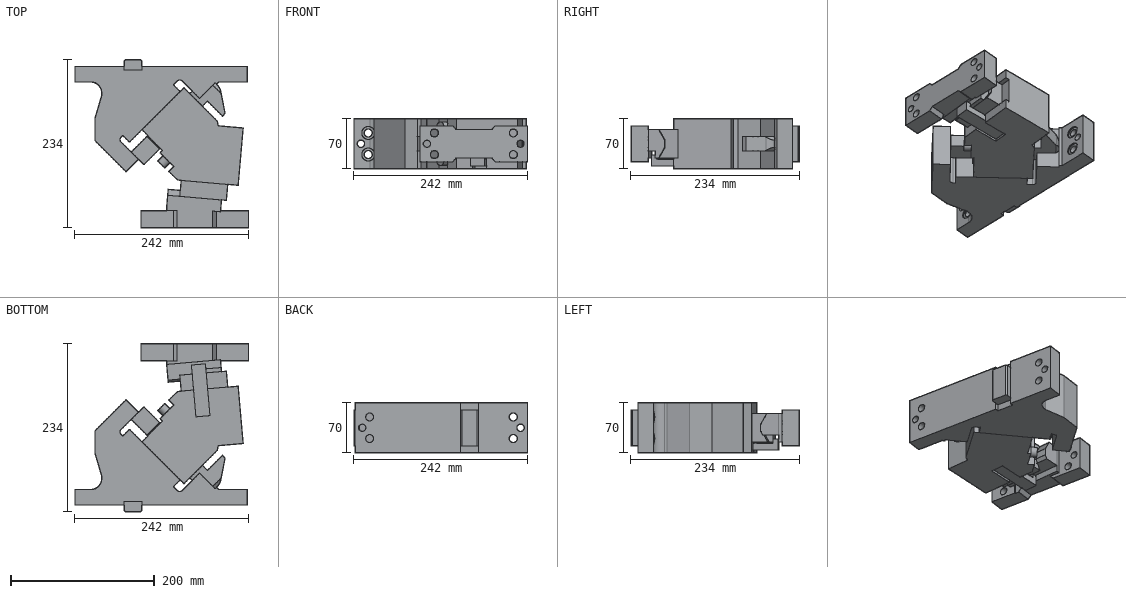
import cadquery as cq
import math

UNIT_LENGTH = 242.0
UNIT_HEIGHT = 234.0
BODY_WIDTH = 70.0
RAIL_WIDTH = 50.0
NECK_WIDTH = 40.0
HALF_BODY = BODY_WIDTH / 2
HALF_NECK = NECK_WIDTH / 2

STROKE_ORIGIN = (93.2, 136.2)
DIAGONAL = math.sqrt(0.5)
ALONG = cq.Vector(DIAGONAL, DIAGONAL, 0)
ACROSS = cq.Vector(DIAGONAL, -DIAGONAL, 0)

PRESS_ORIGIN = (227.5, 59.0)
PRESS_TILT = math.radians(5)
SIDE = cq.Vector(math.cos(PRESS_TILT), -math.sin(PRESS_TILT), 0)
UP = cq.Vector(math.sin(PRESS_TILT), math.cos(PRESS_TILT), 0)

PLATE_LENGTH = 240.0
PLATE_TOP = 224.8
PLATE_BOTTOM = 202.8
ROOT_RADIUS = 15.0
NECK_X = 37.3
NECK_STRAIGHT_Y = 184.0
ARM_X = 28.0
ARM_TOP_Y = 153.0
ARM_BOTTOM_Y = 121.2
ARM_ACROSS = 26.0
ARM_TIP_ALONG = -56.6
RELIEF_DEPTH = 13.0
RELIEF_RADIUS = 4.8
LOWER_LEDGE, LOWER_WALL = -24.2, -32.2
UPPER_LEDGE, UPPER_WALL = 75.5, 87.8
STUB_TOP_ALONG = 118.5
STUB_STEP_ACROSS = 28.8

MOUNT_SCREW_INSET = 20.0
MOUNT_DOWEL_INSET = 10.0
MOUNT_SCREW_Z = 15.0
MOUNT_SCREW_DIAMETER = 11.0
MOUNT_DOWEL_DIAMETER = 10.0
SPOTFACE_DIAMETER = 18.0
SPOTFACE_DEPTH = 2.0

KEY_LEFT = 68.5
KEY_LENGTH = 25.0
KEY_SEAT_Y = 219.7
KEY_CHAMFER = 2.0

GUIDE_START, GUIDE_END = 11.4, 36.3
GUIDE_HEIGHT = 19.8
GUIDE_PAD_THICKNESS = 1.2
HOOK_MOUTH_ALONG = 93.0
HOOK_TIP_ACROSS = 66.3
HOOK_NOSE = (65.3, 98.7)
HOOK_SHOULDER = (41.9, 114.5)
HOOK_CROWN = (35.8, 117.5)
HOOK_SLOPE_START = 114.0
HOOK_SLOPE_DROP = 4.8

SLIDER_END_ALONG = 83.0
SLIDER_SHOULDER_ACROSS = 65.8
SHOULDER_UP, SHOULDER_SIDE = 80.3, -34.8
WORK_START, WORK_END = 40.5, 67.3
WORK_ALONG = -4.5
NOSE_ALONG = -14.3
NOSE_SIDE = -84.7
SETBACK_ALONG = 0.5
STUD_DIAMETER = 14.0
STUD_LENGTH = 10.2
STUD_ACROSS = 53.2
STUD_Z = 23.5

V_BLOCK_LEFT, V_BLOCK_RIGHT = -79.9, -14.5
KEYWAY_END = 4.8
KEYWAY_DEPTH = 6.0
V_EDGE_UP = -22.3
V_RIDGE_UP = -13.8
V_RIDGE_HALF = 5.0

CATCH_LEFT, CATCH_RIGHT = -62.5, -42.8
CATCH_TIP_UP = -34.8
CATCH_BOTTOM_Z, CATCH_TOP_Z, CATCH_TIP_Z = -31.2, -21.3, -15.5
CATCH_SLOT_LENGTH = 37.5

DRIVER_LEFT = 92.0
DRIVER_LENGTH = UNIT_LENGTH - DRIVER_LEFT
BASE_THICKNESS = 24.0
WAIST_LEFT, WAIST_RIGHT = 142.5, 192.0
DRIVER_NECK_LEFT, DRIVER_NECK_RIGHT = -96.8, -21.3
DRIVER_NECK_FOOT = -38.7
CATCH_RECESS_Z = -10.5
FLANGE_LEFT = -57.4
FLANGE_UNDERSIDE = -27.8


def stroke(across, along):
    """Global XY of a point in the stroke frame."""
    return (
        STROKE_ORIGIN[0] + DIAGONAL * (across + along),
        STROKE_ORIGIN[1] + DIAGONAL * (along - across),
    )


def press(side, up):
    """Global XY of a point in the press frame."""
    return (
        PRESS_ORIGIN[0] + side * SIDE.x + up * UP.x,
        PRESS_ORIGIN[1] + side * SIDE.y + up * UP.y,
    )


def prism(points, bottom, top):
    """Straight-sided XY outline between two Z levels."""
    return cq.Workplane("XY").workplane(offset=bottom).polyline(points).close().extrude(top - bottom)


def framed_block(frame, first, second, bottom, top):
    """Block with opposite corners given in a tilted frame."""
    corners = [first, (second[0], first[1]), second, (first[0], second[1])]
    return prism([frame(*corner) for corner in corners], bottom, top)


def y_holes(diameter, places, start, length):
    """Round cutters along +Y from Y = start, at (x, z) places."""
    cutters = cq.Workplane("XY")
    for x, z in places:
        axis_start = cq.Vector(x, start, z)
        cutters = cutters.add(cq.Solid.makeCylinder(diameter / 2, length, axis_start, cq.Vector(0, 1, 0)))
    return cutters.combine()


def mount_screw_places(left, length):
    """Four screw holes, a pair near each end of a mounting plate."""
    ends = (left + MOUNT_SCREW_INSET, left + length - MOUNT_SCREW_INSET)
    return [(x, z) for x in ends for z in (-MOUNT_SCREW_Z, MOUNT_SCREW_Z)]


def mount_dowel_places(left, length):
    """Two dowel holes on the centre plane."""
    return [(left + MOUNT_DOWEL_INSET, 0), (left + length - MOUNT_DOWEL_INSET, 0)]


def housing_body():
    """Plate, left arm and right stub as one outline."""
    round_off = RELIEF_RADIUS * (1 - DIAGONAL)
    relief_back = -RELIEF_DEPTH
    root_x = NECK_X - ROOT_RADIUS
    root_y = PLATE_BOTTOM - ROOT_RADIUS
    root_middle = (root_x + ROOT_RADIUS * DIAGONAL, root_y + ROOT_RADIUS * DIAGONAL)
    step_rise = (PLATE_BOTTOM - stroke(STUB_STEP_ACROSS, STUB_TOP_ALONG)[1]) / DIAGONAL
    outline = (
        cq.Workplane("XY")
        .workplane(offset=-HALF_BODY)
        .moveTo(0, PLATE_TOP)
        .lineTo(0, PLATE_BOTTOM)
        .lineTo(root_x, PLATE_BOTTOM)
        .threePointArc(root_middle, (NECK_X, root_y))
        .lineTo(NECK_X, NECK_STRAIGHT_Y)
        .lineTo(ARM_X, ARM_TOP_Y)
        .lineTo(ARM_X, ARM_BOTTOM_Y)
        .lineTo(*stroke(ARM_ACROSS, ARM_TIP_ALONG))
        .lineTo(*stroke(ARM_ACROSS, LOWER_WALL))
        .lineTo(*stroke(relief_back + RELIEF_RADIUS, LOWER_WALL))
        .threePointArc(
            stroke(relief_back + round_off, LOWER_WALL + round_off),
            stroke(relief_back, LOWER_WALL + RELIEF_RADIUS),
        )
        .lineTo(*stroke(relief_back, LOWER_LEDGE))
        .lineTo(*stroke(0, LOWER_LEDGE))
        .lineTo(*stroke(0, UPPER_LEDGE))
        .lineTo(*stroke(relief_back, UPPER_LEDGE))
        .lineTo(*stroke(relief_back, UPPER_WALL - RELIEF_RADIUS))
        .threePointArc(
            stroke(relief_back + round_off, UPPER_WALL - round_off),
            stroke(relief_back + RELIEF_RADIUS, UPPER_WALL),
        )
        .lineTo(*stroke(ARM_ACROSS, UPPER_WALL))
        .lineTo(*stroke(ARM_ACROSS, STUB_TOP_ALONG))
        .lineTo(*stroke(STUB_STEP_ACROSS, STUB_TOP_ALONG))
        .lineTo(*stroke(STUB_STEP_ACROSS, STUB_TOP_ALONG + step_rise))
        .lineTo(PLATE_LENGTH, PLATE_BOTTOM)
        .lineTo(PLATE_LENGTH, PLATE_TOP)
        .close()
    )
    return outline.extrude(BODY_WIDTH)


def housing_mounting_holes():
    """Through holes of the plate, with spotfaces under the screws."""
    screws = mount_screw_places(0, PLATE_LENGTH)
    dowels = mount_dowel_places(0, PLATE_LENGTH)
    thickness = PLATE_TOP - PLATE_BOTTOM
    spotface_start = PLATE_BOTTOM - ROOT_RADIUS
    spotfaces = y_holes(SPOTFACE_DIAMETER, screws, spotface_start, ROOT_RADIUS + SPOTFACE_DEPTH)
    return (
        spotfaces
        .union(y_holes(MOUNT_SCREW_DIAMETER, screws, PLATE_BOTTOM, thickness))
        .union(y_holes(MOUNT_DOWEL_DIAMETER, dowels, PLATE_BOTTOM, thickness))
    )


def key_seat():
    """Slot through the full width of the plate for the key."""
    right = KEY_LEFT + KEY_LENGTH
    corners = [(KEY_LEFT, KEY_SEAT_Y), (right, KEY_SEAT_Y), (right, PLATE_TOP), (KEY_LEFT, PLATE_TOP)]
    return prism(corners, -HALF_BODY, HALF_BODY)


def key():
    """Locating key, shorter than its seat."""
    right = KEY_LEFT + KEY_LENGTH
    points = [
        (KEY_LEFT, KEY_SEAT_Y),
        (right, KEY_SEAT_Y),
        (right, UNIT_HEIGHT - KEY_CHAMFER),
        (right - KEY_CHAMFER, UNIT_HEIGHT),
        (KEY_LEFT + KEY_CHAMFER, UNIT_HEIGHT),
        (KEY_LEFT, UNIT_HEIGHT - KEY_CHAMFER),
    ]
    return prism(points, -RAIL_WIDTH / 2, RAIL_WIDTH / 2)


def lower_guide():
    """Tongue from the left arm to the slider, ending in a taller pad."""
    half = GUIDE_HEIGHT / 2
    tongue = framed_block(stroke, (GUIDE_START, LOWER_WALL), (GUIDE_END, 0), -half, half)
    pad = framed_block(stroke, (GUIDE_START, -GUIDE_PAD_THICKNESS), (GUIDE_END, 0), -HALF_NECK, HALF_NECK)
    return tongue.union(pad)


def upper_hook():
    """Tongue and hook on the right stub; the hook slopes away at its upper end."""
    half = GUIDE_HEIGHT / 2
    outline = (
        cq.Workplane("XY")
        .workplane(offset=-half)
        .moveTo(*stroke(GUIDE_START, SLIDER_END_ALONG))
        .lineTo(*stroke(GUIDE_END, SLIDER_END_ALONG))
        .lineTo(*stroke(GUIDE_END, HOOK_MOUTH_ALONG))
        .lineTo(*stroke(HOOK_TIP_ACROSS, HOOK_MOUTH_ALONG))
        .lineTo(*stroke(*HOOK_NOSE))
        .lineTo(*stroke(*HOOK_SHOULDER))
        .threePointArc(stroke(*HOOK_CROWN), stroke(STUB_STEP_ACROSS, STUB_TOP_ALONG))
        .lineTo(*stroke(ARM_ACROSS, STUB_TOP_ALONG))
        .lineTo(*stroke(ARM_ACROSS, UPPER_WALL))
        .lineTo(*stroke(GUIDE_START, UPPER_WALL))
        .close()
        .extrude(GUIDE_HEIGHT)
    )
    section_plane = cq.Plane(origin=(*STROKE_ORIGIN, 0), xDir=ALONG, normal=ACROSS)
    section = [
        (SLIDER_END_ALONG, half),
        (HOOK_SLOPE_START, half),
        (STUB_TOP_ALONG, half - HOOK_SLOPE_DROP),
        (STUB_TOP_ALONG, -half + HOOK_SLOPE_DROP),
        (HOOK_SLOPE_START, -half),
        (SLIDER_END_ALONG, -half),
    ]
    envelope = cq.Workplane(section_plane).polyline(section).close().extrude(BODY_WIDTH)
    return outline.intersect(envelope)


def make_housing():
    plate_and_arms = housing_body().cut(key_seat()).cut(housing_mounting_holes())
    return plate_and_arms.union(key()).union(lower_guide()).union(upper_hook())


def slider_block():
    """Full-width block with the stepped working side."""
    points = [
        stroke(0, SETBACK_ALONG),
        stroke(0, SLIDER_END_ALONG),
        stroke(SLIDER_SHOULDER_ACROSS, SLIDER_END_ALONG),
        press(SHOULDER_SIDE, SHOULDER_UP),
        press(0, SHOULDER_UP),
        press(0, 0),
        press(NOSE_SIDE, 0),
        stroke(WORK_END, NOSE_ALONG),
        stroke(WORK_END, WORK_ALONG),
        stroke(WORK_START, WORK_ALONG),
        stroke(WORK_START, 0),
        stroke(GUIDE_START, 0),
        stroke(GUIDE_START, SETBACK_ALONG),
    ]
    return prism(points, -HALF_BODY, HALF_BODY)


def press_section(points, left, right):
    """Section given as (up, z) points, swept between two side positions."""
    start = press(left, 0)
    plane = cq.Plane(origin=(*start, 0), xDir=UP, normal=SIDE)
    return cq.Workplane(plane).polyline(points).close().extrude(right - left)


def v_profile(base_up):
    """Section of the V guide, from its ridge to the level base_up."""
    return [
        (base_up, -HALF_NECK),
        (V_EDGE_UP, -HALF_NECK),
        (V_RIDGE_UP, -V_RIDGE_HALF),
        (V_RIDGE_UP, V_RIDGE_HALF),
        (V_EDGE_UP, HALF_NECK),
        (base_up, HALF_NECK),
    ]


def v_block():
    """Block under the slider with the V groove that rides on the driver."""
    return press_section(v_profile(KEYWAY_DEPTH), V_BLOCK_LEFT, V_BLOCK_RIGHT)


def keyway():
    """Groove for the V block, open towards the right side of the slider."""
    section = [(0, -HALF_NECK), (KEYWAY_DEPTH, -HALF_NECK), (KEYWAY_DEPTH, HALF_NECK), (0, HALF_NECK)]
    return press_section(section, V_BLOCK_LEFT, KEYWAY_END)


def studs():
    """Two round studs on the working face."""
    bodies = cq.Workplane("XY")
    for z in (-STUD_Z, STUD_Z):
        foot = cq.Vector(*stroke(STUD_ACROSS, WORK_ALONG), z)
        bodies = bodies.add(cq.Solid.makeCylinder(STUD_DIAMETER / 2, STUD_LENGTH, foot, -ALONG))
    return bodies.combine()


def return_catch():
    """L-shaped plate that reaches under the flange of the driver."""
    plate = framed_block(press, (CATCH_LEFT, CATCH_TIP_UP), (CATCH_RIGHT, 0), CATCH_BOTTOM_Z, CATCH_TOP_Z)
    tip_corner = (CATCH_RIGHT, FLANGE_UNDERSIDE)
    tip = framed_block(press, (CATCH_LEFT, CATCH_TIP_UP), tip_corner, CATCH_BOTTOM_Z, CATCH_TIP_Z)
    return plate.union(tip)


def catch_slot():
    """Slot in the lower side of the slider, in line with the catch."""
    far_corner = (CATCH_RIGHT, CATCH_SLOT_LENGTH)
    return framed_block(press, (CATCH_LEFT, 0), far_corner, -HALF_BODY, CATCH_BOTTOM_Z)


def make_slider():
    block = slider_block().cut(catch_slot()).cut(keyway())
    return block.union(v_block()).union(studs()).union(return_catch())


def driver_base():
    """Mounting plate, narrower in its middle."""
    half_rail = RAIL_WIDTH / 2
    slope = half_rail - HALF_NECK
    upper = [
        (DRIVER_LEFT, half_rail),
        (WAIST_LEFT - slope, half_rail),
        (WAIST_LEFT, HALF_NECK),
        (WAIST_RIGHT, HALF_NECK),
        (WAIST_RIGHT + slope, half_rail),
        (UNIT_LENGTH, half_rail),
    ]
    lower = [(x, -z) for x, z in reversed(upper)]
    base = cq.Workplane("XZ").polyline(upper + lower).close().extrude(-BASE_THICKNESS)
    screws = mount_screw_places(DRIVER_LEFT, DRIVER_LENGTH)
    dowels = mount_dowel_places(DRIVER_LEFT, DRIVER_LENGTH)
    base = base.cut(y_holes(MOUNT_SCREW_DIAMETER, screws, 0, BASE_THICKNESS))
    return base.cut(y_holes(MOUNT_DOWEL_DIAMETER, dowels, 0, BASE_THICKNESS))


def pedestal():
    """Upright foot between the base and the tilted neck."""
    left, left_top = press(DRIVER_NECK_LEFT, DRIVER_NECK_FOOT)
    right, right_top = press(DRIVER_NECK_RIGHT, DRIVER_NECK_FOOT)
    points = [(left, 0), (right, 0), (right, right_top), (left, left_top)]
    return prism(points, -HALF_NECK, HALF_NECK)


def neck_seat():
    """Tilted clearance where the lower end of the neck dips into the base."""
    low_corner = (DRIVER_NECK_LEFT, DRIVER_NECK_FOOT)
    return framed_block(press, low_corner, (DRIVER_NECK_RIGHT, 0), -HALF_BODY, HALF_BODY)


def catch_recess():
    """Room for the catch below the flange, open at the left end up to the ridge."""
    open_end = framed_block(
        press, (DRIVER_NECK_LEFT, DRIVER_NECK_FOOT), (FLANGE_LEFT, V_RIDGE_UP), -HALF_NECK, CATCH_RECESS_Z
    )
    groove = framed_block(
        press,
        (FLANGE_LEFT, DRIVER_NECK_FOOT),
        (DRIVER_NECK_RIGHT, FLANGE_UNDERSIDE),
        -HALF_NECK,
        CATCH_RECESS_Z,
    )
    return open_end.union(groove)


def make_driver():
    neck = press_section(v_profile(DRIVER_NECK_FOOT), DRIVER_NECK_LEFT, DRIVER_NECK_RIGHT)
    return driver_base().cut(neck_seat()).union(pedestal()).union(neck.cut(catch_recess()))


housing = make_housing()
slider = make_slider()
driver = make_driver()

result = cq.Compound.makeCompound([
    *housing.solids().vals(),
    *slider.solids().vals(),
    *driver.solids().vals(),
])